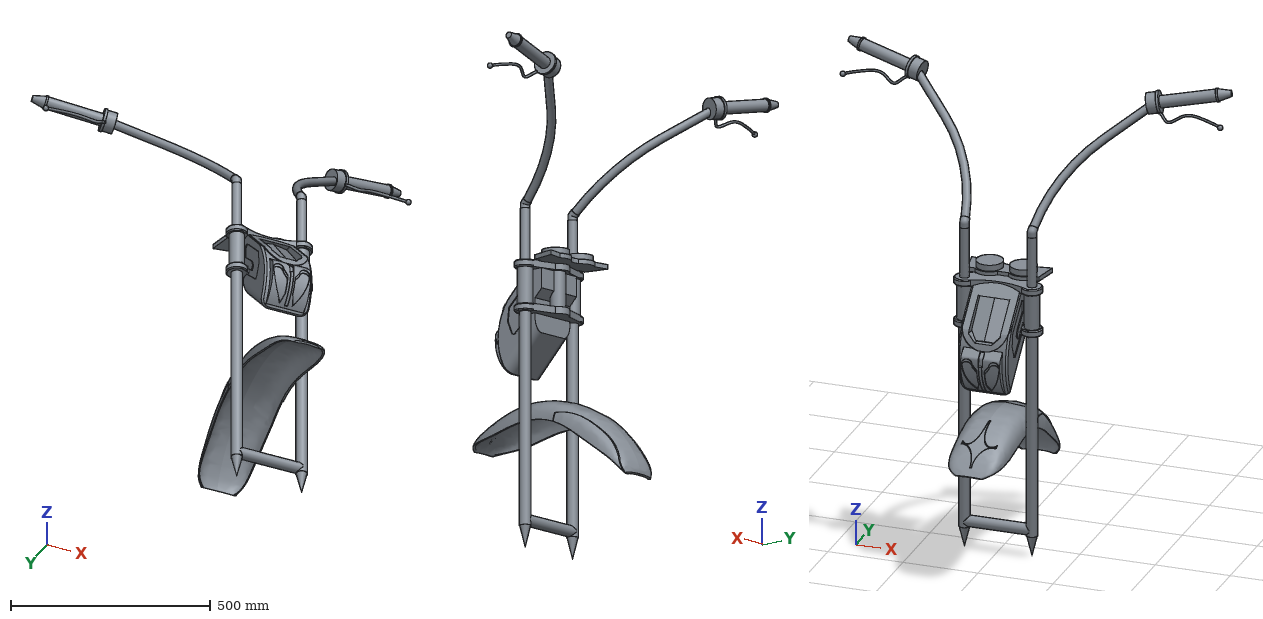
import cadquery as cq
import math


FORK_X = 90.0
TIP_HEIGHT = 56.0
TIP_DIA = 28.0
LEG_DIA = 30.0
SLEEVE_DIA = 40.0
RISER_DIA = 25.0
RISER_TOP_Z = 872.0
ELBOW_DIA = 24.0
BEND_Z = 884.0
CROSSBAR_Z = TIP_HEIGHT + LEG_DIA / 2

LOWER_CLAMP_Z = 606.0
UPPER_CLAMP_Z = 719.0
CLAMP_THICK = 18.0
CLAMP_CHAMFER = 3.0
FORK_LUG_DIA = 55.0
STEM_LUG_DIA = 60.0
STEM_DIA = 40.0
STEM_Y = 30.0
CLAMP_ARC_DEPTH = 24.0

GAUGE_X = 45.0
GAUGE_Y = 62.0
GAUGE_BASE_DIA = 80.0
GAUGE_TOP_DIA = 70.0
GAUGE_TOP_Z = 763.0
BRACKET_Z = UPPER_CLAMP_Z + CLAMP_THICK - 2.0
BRACKET_THICK = 12.0
BRACKET_OUTLINE = [(-108, 102), (0, 85), (108, 102), (95, 36), (-95, 36)]

BAR_DIA = 22.0
BAR_BEND_RADIUS = 460.0
BAR_START_ANGLE = 85.0
BAR_END_ANGLE = 47.0
BAR_STRAIGHT = 150.0
BEND_STUB = 12.0
GRIP_START = (300.5, 384.3)
GRIP_ANGLE = 15.6
GRIP_DIA = 32.0
GRIP_LENGTH = 176.5
GRIP_RING_DIA = 36.0
GRIP_RING_THICK = 5.0
GRIP_TIP_DIA = 16.0
GRIP_TIP_LENGTH = 33.0
HOUSING_DIA = 55.0
HOUSING_LENGTH = 26.0
HOUSING_FLANGE_DIA = 60.0
HOUSING_FLANGE_THICK = 7.0
LEVER_DIA = 7.0
LEVER_BALL_DIA = 14.0
LEVER_PATH = [(318, 368), (345, 358), (363, 342), (398, 362), (452, 363), (503, 347)]

FAIRING_HALF_WIDTH = 66.0
FAIRING_TOP_BACK_Y = 34.0
FAIRING_TOP_BACK_Z = 667.0
FAIRING_BACK_Y = 12.0
FAIRING_BULGE = (-116.0, 565.0)
FAIRING_CHIN = (-84.0, 463.0)
FRONT_REACH = 200.0
FAIRING_FILLET = 25.0
FAIRING_FRONT_CHAMFER = 5.0
FAIRING_TOP_Z = UPPER_CLAMP_Z + CLAMP_THICK - 2.0
FAIRING_SLOPE_OFFSET = 733.0
NOSE_HALF_WIDTH = 52.0
NOSE_ROOT_TOP = (-60, 620)
NOSE_BROW = (-90, 616)
NOSE_CREST = (-132, 576)
NOSE_BULGE = (-133, 550)
NOSE_CHIN = (-92, 472)
NOSE_ROOT_BOTTOM = (-60, 500)
NOSE_CREST_FILLET = 10.0
RIB_WIDTH = 8.0
RIB_RAISE = 3.0
RIB_BOTTOM_Z = 476.0
RIB_TOP_Z = 556.0
VALLEY_WIDTH = 12.0
VALLEY_DEPTH = 6.0
LAMP_INNER_X = 10.0
LAMP_INNER_TOP_Z = 536.0
LAMP_INNER_BOTTOM_Z = 500.0
LAMP_TIP = (18, 480)
LAMP_FLANK = (42, 520)
LAMP_CORNER = (50, 556)
LAMP_TOP = (38, 564)
LAMP_EYE = (22, 551)
LAMP_DEPTH = 4.0
BROW_DEPTH = 2.0
BROW_LIFT = 8.0
MASK_HALF_WIDTH = 62.0
MASK_RAISE = 3.0
MASK_CREASE_Z = 642.0
SLOPE_END_Z = 637.0
MASK_BOTTOM_Z = 590.0
WINDOW_HALF_WIDTH = 42.0
WINDOW_TOP_Z = 704.0
WINDOW_BOTTOM_Z = 609.0
WINDOW_CORNER = 20.0
WINDOW_FLOOR_TOP_Y = -15.0
WINDOW_FLOOR_BOTTOM_Y = -97.0
WINDOW_RIDGE = 7.0
SIDE_PANEL_DEPTH = 3.0
SIDE_PANEL_FILLET = 8.0
SIDE_ISLAND_OUTLINE = [(2, 662), (-36, 628), (-42, 612), (-34, 602), (2, 632)]
SIDE_PANEL_OUTLINE = [(2, 706), (-76, 633), (-80, 598), (-63, 557), (2, 614)]

MUDGUARD_THICK = 5.0
MUDGUARD_SQUARENESS = 0.69
EMBOSS_DEPTH = 2.0
STAR_START_Y = -60.0
STAR_REACH = 150.0
STAR_TIP = 2.0
STAR_HALF_WIDTH = 46.0
STAR_Z = 346.0
STAR_TOP_Z = 380.0
STAR_BOTTOM_Z = 310.0
STAR_WAIST = 11.0
PANEL_START_X = 15.0
PANEL_REACH = 80.0
PANEL_UPPER_EDGE = [(84, 337), (161, 318), (207, 288), (243, 256), (284, 194)]
PANEL_LOWER_EDGE = [(300, 140), (70, 280), (80, 315)]
MUDGUARD_STATIONS = [
    ((303, 158), (296, 152), 48),
    ((266, 243), (238, 211), 73),
    ((207, 307), (176, 256), 77),
    ((115, 363), (95, 308), 77),
    ((0, 388), (0, 330), 77),
    ((-99, 371), (-85, 318), 77),
    ((-165, 340), (-150, 305), 73),
    ((-203, 312), (-197, 298), 60),
    ((-223, 293), (-218, 288), 35),
]


def rod(dia, z_low, z_high, x=0.0, y=0.0):
    """Upright cylinder between two heights."""
    return cq.Workplane("XY", origin=(x, y, z_low)).circle(dia / 2).extrude(z_high - z_low)


def side_prism(sketch_yz, half_width):
    """Extrude a closed YZ outline equally to both sides of X = 0."""
    return sketch_yz.extrude(half_width, both=True)


def mirrored(shape):
    """The shape together with its mirror image across X = 0."""
    return shape.union(shape.mirror("YZ"))


def fork_leg():
    tip = cq.Workplane(cq.Solid.makeCone(0, TIP_DIA / 2, TIP_HEIGHT)).translate((FORK_X, 0, 0))
    leg = rod(LEG_DIA, TIP_HEIGHT, UPPER_CLAMP_Z, FORK_X)
    sleeve = rod(SLEEVE_DIA, LOWER_CLAMP_Z, UPPER_CLAMP_Z, FORK_X)
    riser = rod(RISER_DIA, UPPER_CLAMP_Z, RISER_TOP_Z, FORK_X)
    neck = rod(ELBOW_DIA, RISER_TOP_Z, BEND_Z, FORK_X)
    elbow = cq.Workplane("XY", origin=(FORK_X, 0, BEND_Z)).sphere(ELBOW_DIA / 2)
    return tip.union(leg).union(sleeve).union(riser).union(neck).union(elbow)


def crossbar():
    return cq.Workplane("YZ", origin=(0, 0, CROSSBAR_Z)).circle(LEG_DIA / 2).extrude(FORK_X, both=True)


def clamp(z_low):
    """Plate joining both fork lugs and the stem lug, hollowed by an arc in front."""
    lug_front = -FORK_LUG_DIA / 2
    stem_half = STEM_LUG_DIA / 2
    web = (
        cq.Workplane("XY", origin=(0, 0, z_low))
        .moveTo(-FORK_X, lug_front)
        .threePointArc((0, lug_front + CLAMP_ARC_DEPTH), (FORK_X, lug_front))
        .lineTo(FORK_X, -lug_front)
        .lineTo(stem_half, STEM_Y + stem_half / 2)
        .lineTo(-stem_half, STEM_Y + stem_half / 2)
        .lineTo(-FORK_X, -lug_front)
        .close()
        .extrude(CLAMP_THICK)
    )
    plate = web.union(rod(STEM_LUG_DIA, z_low, z_low + CLAMP_THICK, 0, STEM_Y))
    for x in (-FORK_X, FORK_X):
        lug = rod(FORK_LUG_DIA, z_low, z_low + CLAMP_THICK, x).edges().chamfer(CLAMP_CHAMFER)
        plate = plate.union(lug)
    return plate


def gauges():
    bracket = (
        cq.Workplane("XY", origin=(0, 0, BRACKET_Z)).polyline(BRACKET_OUTLINE).close().extrude(BRACKET_THICK)
    )
    base = rod(GAUGE_BASE_DIA, BRACKET_Z, BRACKET_Z + BRACKET_THICK, GAUGE_X, GAUGE_Y)
    dial = rod(GAUGE_TOP_DIA, BRACKET_Z, GAUGE_TOP_Z, GAUGE_X, GAUGE_Y)
    return bracket.union(mirrored(base.union(dial)))


BAR_PLANE = cq.Plane(origin=(0, 0, BEND_Z), xDir=(1, 0, 0), normal=(0, -1, 1))


def in_bar_plane(point):
    return BAR_PLANE.toWorldCoords(point)


def plane_at(point, direction):
    """Plane through a handlebar-plane point, facing along a handlebar-plane direction."""
    normal = in_bar_plane(direction) - BAR_PLANE.origin
    return cq.Plane(origin=in_bar_plane(point).toTuple(), normal=normal.toTuple())


def heading(angle):
    return (math.cos(math.radians(angle)), math.sin(math.radians(angle)))


def bar_arc_point(angle):
    """Point of the bar's bend where its heading above the X axis has fallen to the angle."""
    start = heading(BAR_START_ANGLE)
    here = heading(angle)
    return (FORK_X + BAR_BEND_RADIUS * (start[1] - here[1]), BAR_BEND_RADIUS * (here[0] - start[0]))


def handlebar():
    bend_end = bar_arc_point(BAR_END_ANGLE)
    end_heading = heading(BAR_END_ANGLE)
    bar_end = tuple(p + BAR_STRAIGHT * h for p, h in zip(bend_end, end_heading))
    path = (
        cq.Workplane(BAR_PLANE)
        .moveTo(FORK_X, 0)
        .threePointArc(bar_arc_point((BAR_START_ANGLE + BAR_END_ANGLE) / 2), bend_end)
        .lineTo(*bar_end)
    )
    start_plane = plane_at((FORK_X, 0), heading(BAR_START_ANGLE))
    bar = cq.Workplane(start_plane).circle(BAR_DIA / 2).sweep(path)
    stub = cq.Workplane(start_plane).circle(ELBOW_DIA / 2).extrude(BEND_STUB)
    return bar.union(stub)


def grip():
    """Housing, grip, end ring and tapered tip, turned about the grip axis."""
    housing_end = HOUSING_LENGTH
    flange_end = housing_end + HOUSING_FLANGE_THICK
    ring_start = flange_end + GRIP_LENGTH - HOUSING_LENGTH - GRIP_RING_THICK
    ring_end = ring_start + GRIP_RING_THICK
    tip_end = ring_end + GRIP_TIP_LENGTH
    axis = heading(GRIP_ANGLE)
    frame = cq.Plane(
        origin=in_bar_plane(GRIP_START).toTuple(),
        xDir=(in_bar_plane(axis) - BAR_PLANE.origin).toTuple(),
        normal=BAR_PLANE.zDir.toTuple(),
    )
    profile = [
        (0, 0),
        (0, HOUSING_DIA / 2),
        (housing_end, HOUSING_DIA / 2),
        (housing_end, HOUSING_FLANGE_DIA / 2),
        (flange_end, HOUSING_FLANGE_DIA / 2),
        (flange_end, GRIP_DIA / 2),
        (ring_start, GRIP_DIA / 2),
        (ring_start, GRIP_RING_DIA / 2),
        (ring_end, GRIP_RING_DIA / 2),
        (ring_end, GRIP_DIA / 2),
        (tip_end, GRIP_TIP_DIA / 2),
        (tip_end, 0),
    ]
    return cq.Workplane(frame).polyline(profile).close().revolve(360, (0, 0, 0), (1, 0, 0))


def lever():
    path = cq.Workplane(BAR_PLANE).spline(LEVER_PATH)
    first, second = LEVER_PATH[0], LEVER_PATH[1]
    start_plane = plane_at(first, (second[0] - first[0], second[1] - first[1]))
    arm = cq.Workplane(start_plane).circle(LEVER_DIA / 2).sweep(path)
    ball = cq.Workplane(BAR_PLANE).center(*LEVER_PATH[-1]).sphere(LEVER_BALL_DIA / 2)
    return arm.union(ball)


def fairing_body():
    """Solid fairing with a 45 degree front slope, a curved lower front and rounded lower sides."""
    outline = (
        cq.Workplane("YZ")
        .moveTo(FAIRING_TOP_BACK_Y, FAIRING_TOP_Z)
        .lineTo(FAIRING_TOP_Z - FAIRING_SLOPE_OFFSET, FAIRING_TOP_Z)
        .lineTo(SLOPE_END_Z - FAIRING_SLOPE_OFFSET, SLOPE_END_Z)
        .threePointArc(FAIRING_BULGE, FAIRING_CHIN)
        .lineTo(FAIRING_BACK_Y, FAIRING_CHIN[1] + FAIRING_BACK_Y - FAIRING_CHIN[0])
        .lineTo(FAIRING_BACK_Y, FAIRING_TOP_BACK_Z - FAIRING_TOP_BACK_Y + FAIRING_BACK_Y)
        .lineTo(FAIRING_TOP_BACK_Y, FAIRING_TOP_BACK_Z)
        .close()
    )
    body = side_prism(outline, FAIRING_HALF_WIDTH)
    underside = body.faces(cq.selectors.DirectionMinMaxSelector(cq.Vector(0, 1, -1), True))
    return underside.edges(cq.selectors.ParallelDirSelector(cq.Vector(0, 1, 1))).fillet(FAIRING_FILLET)


def nose():
    outline = (
        cq.Workplane("YZ")
        .moveTo(*NOSE_ROOT_TOP)
        .lineTo(*NOSE_BROW)
        .lineTo(*NOSE_CREST)
        .threePointArc(NOSE_BULGE, NOSE_CHIN)
        .lineTo(*NOSE_ROOT_BOTTOM)
        .close()
    )
    return side_prism(outline, NOSE_HALF_WIDTH).edges("|X and <Y").fillet(NOSE_CREST_FILLET)


def nose_with_lamps():
    """Nose with stepped lamp recesses, a middle rib and a short valley above the rib."""
    plain = nose()
    detailed = plain
    for side in (-1, 1):
        for lift, depth in ((BROW_LIFT, BROW_DEPTH), (0, LAMP_DEPTH)):
            recess = front_prism(lamp_outline(side, lift)).cut(plain.translate((0, depth, 0)))
            detailed = detailed.cut(recess)
    valley_height = MASK_BOTTOM_Z - RIB_TOP_Z
    valley_z = RIB_TOP_Z + valley_height / 2
    valley = cq.Workplane("XZ", origin=(0, 0, valley_z)).rect(VALLEY_WIDTH, valley_height)
    detailed = detailed.cut(front_prism(valley).cut(plain.translate((0, VALLEY_DEPTH, 0))))
    rib_height = RIB_TOP_Z - RIB_BOTTOM_Z
    rib_z = RIB_BOTTOM_Z + rib_height / 2
    rib = cq.Workplane("XZ", origin=(0, 0, rib_z)).rect(RIB_WIDTH, rib_height)
    return detailed.union(front_prism(rib).intersect(plain.translate((0, -RIB_RAISE, 0))))


def front_prism(outline):
    """Project a closed XZ outline through the front half of the fairing."""
    return outline.extrude(FRONT_REACH)


def lamp_outline(side, lift):
    """Almond outline on one side of the rib, its upper end raised by the lift."""
    return (
        cq.Workplane("XZ")
        .moveTo(side * LAMP_INNER_X, LAMP_INNER_TOP_Z + lift)
        .lineTo(side * LAMP_INNER_X, LAMP_INNER_BOTTOM_Z)
        .lineTo(side * LAMP_TIP[0], LAMP_TIP[1])
        .threePointArc((side * LAMP_FLANK[0], LAMP_FLANK[1]), (side * LAMP_CORNER[0], LAMP_CORNER[1]))
        .threePointArc((side * LAMP_TOP[0], LAMP_TOP[1] + lift), (side * LAMP_EYE[0], LAMP_EYE[1] + lift))
        .close()
    )


def mask_outline():
    return (
        cq.Workplane("XZ")
        .moveTo(-MASK_HALF_WIDTH, FAIRING_TOP_Z)
        .lineTo(MASK_HALF_WIDTH, FAIRING_TOP_Z)
        .lineTo(MASK_HALF_WIDTH, MASK_CREASE_Z)
        .threePointArc((0, MASK_BOTTOM_Z), (-MASK_HALF_WIDTH, MASK_CREASE_Z))
        .close()
    )


def window_outline():
    corner_x = WINDOW_HALF_WIDTH - WINDOW_CORNER
    corner_z = WINDOW_BOTTOM_Z + WINDOW_CORNER
    half = [(WINDOW_HALF_WIDTH, WINDOW_TOP_Z), (WINDOW_HALF_WIDTH, corner_z), (corner_x, WINDOW_BOTTOM_Z)]
    other_half = [(-x, z) for x, z in reversed(half)]
    return cq.Workplane("XZ").polyline(half + other_half).close()


def window_recess():
    """Window opening down to a flat sloping floor that carries a low ridge in the middle."""
    run = WINDOW_FLOOR_BOTTOM_Y - WINDOW_FLOOR_TOP_Y
    drop = WINDOW_BOTTOM_Z - WINDOW_TOP_Z
    floor = cq.Workplane("YZ").polyline(
        [
            (WINDOW_FLOOR_TOP_Y, WINDOW_TOP_Z),
            (WINDOW_FLOOR_BOTTOM_Y, WINDOW_BOTTOM_Z),
            (0, WINDOW_BOTTOM_Z),
            (0, WINDOW_TOP_Z),
        ]
    )
    floor = side_prism(floor.close(), WINDOW_HALF_WIDTH)
    slope_plane = cq.Plane(
        origin=(0, WINDOW_FLOOR_TOP_Y, WINDOW_TOP_Z), xDir=(1, 0, 0), normal=(0, run, drop)
    )
    ridge = (
        cq.Workplane(slope_plane)
        .polyline([(-WINDOW_HALF_WIDTH, 0), (WINDOW_HALF_WIDTH, 0), (0, WINDOW_RIDGE)])
        .close()
        .extrude(math.hypot(run, drop))
    )
    return front_prism(window_outline()).cut(floor).cut(ridge)


def side_panel():
    """Cutter for the side recess, leaving an island at full height."""
    inner_face = cq.Workplane("YZ", origin=(FAIRING_HALF_WIDTH - SIDE_PANEL_DEPTH, 0, 0))
    panel = inner_face.polyline(SIDE_PANEL_OUTLINE).close().extrude(2 * SIDE_PANEL_DEPTH)
    island = inner_face.polyline(SIDE_ISLAND_OUTLINE).close().extrude(2 * SIDE_PANEL_DEPTH)
    return panel.edges("|X").fillet(SIDE_PANEL_FILLET).cut(island)


def fairing():
    body = fairing_body()
    mask = front_prism(mask_outline()).intersect(body.translate((0, -MASK_RAISE, 0)))
    body = body.edges("%CIRCLE and (<X or >X)").chamfer(FAIRING_FRONT_CHAMFER)
    shell = body.union(nose_with_lamps()).union(mask)
    return shell.cut(window_recess()).cut(mirrored(side_panel()))


def half_arch(crown, rim, half_width):
    """Half of a squared-oval arch in the plane of its crown and rim points, closed along X = 0."""
    rise_y = crown[0] - rim[0]
    rise_z = crown[1] - rim[1]
    height = math.hypot(rise_y, rise_z)
    shoulder = MUDGUARD_SQUARENESS
    controls = [(half_width, height * shoulder), (half_width * shoulder, height), (0, height)]
    plane = cq.Plane(origin=(0, *rim), xDir=(1, 0, 0), normal=(0, -rise_z, rise_y))
    return (
        cq.Workplane(plane)
        .lineTo(half_width, 0)
        .bezier(controls, includeCurrent=True)
        .close()
        .val()
    )


def arch_loft(inset):
    """Half loft through all stations, with the arches shrunk and lowered by the inset."""
    sections = []
    for crown, rim, half_width in MUDGUARD_STATIONS:
        height = math.hypot(crown[0] - rim[0], crown[1] - rim[1])
        step_y = (crown[0] - rim[0]) * inset / height
        step_z = (crown[1] - rim[1]) * inset / height
        low_crown = (crown[0] - step_y, crown[1] - step_z)
        low_rim = (rim[0] - step_y, rim[1] - step_z)
        sections.append(half_arch(low_crown, low_rim, half_width - inset))
    return cq.Workplane(cq.Solid.makeLoft(sections))


def mudguard_panel():
    """Side region of the rear half, from its curved upper edge down past the rim."""
    outline = (
        cq.Workplane("YZ", origin=(PANEL_START_X, 0, 0))
        .moveTo(*PANEL_UPPER_EDGE[0])
        .spline(PANEL_UPPER_EDGE[1:], includeCurrent=True)
        .lineTo(*PANEL_LOWER_EDGE[0])
        .lineTo(*PANEL_LOWER_EDGE[1])
        .lineTo(*PANEL_LOWER_EDGE[2])
        .close()
    )
    return outline.extrude(PANEL_REACH)


def star():
    """Right half of a blunt four-pointed star with hollow sides, projected from the front."""
    outline = (
        cq.Workplane("XZ", origin=(0, STAR_START_Y, 0))
        .moveTo(0, STAR_BOTTOM_Z)
        .lineTo(STAR_TIP, STAR_BOTTOM_Z)
        .threePointArc((STAR_WAIST, STAR_Z - STAR_WAIST), (STAR_HALF_WIDTH, STAR_Z - STAR_TIP))
        .lineTo(STAR_HALF_WIDTH, STAR_Z + STAR_TIP)
        .threePointArc((STAR_WAIST, STAR_Z + STAR_WAIST), (STAR_TIP, STAR_TOP_Z))
        .lineTo(0, STAR_TOP_Z)
        .close()
    )
    return outline.extrude(STAR_REACH)


def mudguard():
    half = arch_loft(0)
    emboss_floor = arch_loft(EMBOSS_DEPTH)
    for region in (star(), mudguard_panel()):
        half = half.cut(region.cut(emboss_floor))
    return mirrored(half.cut(arch_loft(MUDGUARD_THICK)))


side_parts = fork_leg().union(handlebar()).union(grip()).union(lever())
stem = rod(STEM_DIA, LOWER_CLAMP_Z, UPPER_CLAMP_Z, 0, STEM_Y)
result = mirrored(side_parts).union(crossbar()).union(stem)
for clamp_z in (LOWER_CLAMP_Z, UPPER_CLAMP_Z):
    result = result.union(clamp(clamp_z))
result = result.union(gauges()).union(fairing()).union(mudguard())